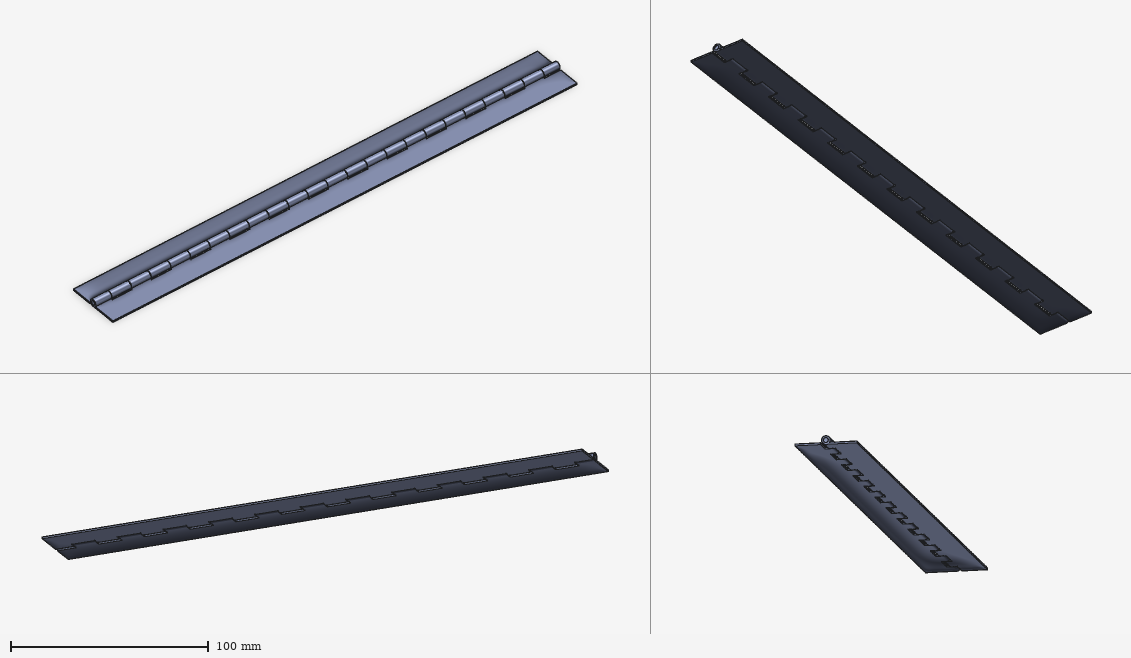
import cadquery as cq

hinge_length = 300.0
hinge_width = 32.0
sheet_thickness = 1.0

barrel_diameter = 4.5
knuckle_count = 24
end_knuckle_shortening = 2.5
knuckle_gap = 0.2
side_clearance = 0.45

knuckle_pitch = (hinge_length + 2 * end_knuckle_shortening) / knuckle_count
barrel_radius = barrel_diameter / 2
pin_radius = barrel_radius - sheet_thickness
leaf_reach = hinge_width / 2
notch_reach = barrel_radius + side_clearance

LEFT = -1
RIGHT = 1


def knuckle_span(index):
    """Y start and end of a knuckle, counted from the -Y end of the hinge."""
    end_y = hinge_length / 2
    start = -end_y - end_knuckle_shortening + knuckle_pitch * index + knuckle_gap / 2
    end = start + knuckle_pitch - knuckle_gap
    return max(start, -end_y), min(end, end_y)


def extrude_along_y(sketch, length):
    """Extrude an XZ sketch toward +Y."""
    return sketch.extrude(-length)


def profile_plane(y):
    return cq.Workplane("XZ", origin=(0, y, 0))


def make_knuckle(side, index):
    """Barrel with the strip of sheet that joins it to the leaf on the given side."""
    start, end = knuckle_span(index)
    length = end - start
    barrel = extrude_along_y(profile_plane(start).center(0, barrel_radius).circle(barrel_radius), length)
    strip = extrude_along_y(
        profile_plane(start).moveTo(0, 0).lineTo(side * notch_reach, 0)
        .lineTo(side * notch_reach, sheet_thickness).lineTo(0, sheet_thickness).close(),
        length,
    )
    bore = extrude_along_y(profile_plane(start).center(0, barrel_radius).circle(pin_radius), length)
    return barrel.union(strip).cut(bore)


def make_leaf(side, first_knuckle):
    """Flat leaf with every second knuckle rolled from its inner edge."""
    plate_width = leaf_reach - notch_reach
    leaf = cq.Workplane("XY").box(plate_width, hinge_length, sheet_thickness, centered=(True, True, False))
    leaf = leaf.translate((side * (notch_reach + plate_width / 2), 0, 0))
    for index in range(first_knuckle, knuckle_count, 2):
        leaf = leaf.union(make_knuckle(side, index))
    return leaf


def make_pin():
    """Plain pin that runs through all the knuckles, flush with both ends."""
    sketch = profile_plane(-hinge_length / 2).center(0, barrel_radius).circle(pin_radius)
    return extrude_along_y(sketch, hinge_length)


right_leaf = make_leaf(RIGHT, 0)
left_leaf = make_leaf(LEFT, 1)
pin = make_pin()

result = cq.Compound.makeCompound([left_leaf.val(), right_leaf.val(), pin.val()])